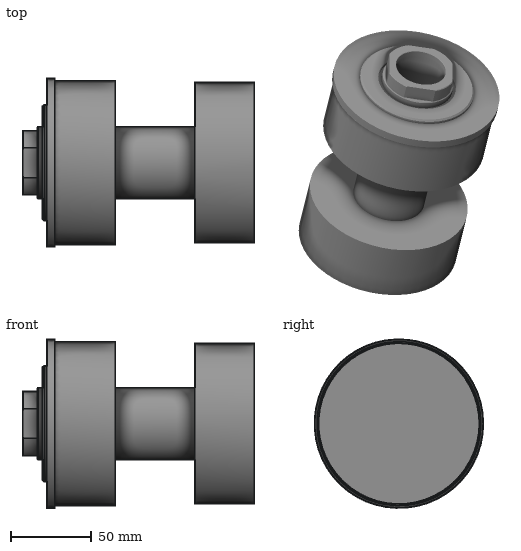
import cadquery as cq
import math

LENGTH = 144.0

AXLE_RADIUS = 22.5
AXLE_START = 9.0
AXLE_CHAMFER = 0.6
STUB_RADIUS = 22.0
STUB_CHAMFER = 0.5
FLAT_WIDTH = 40.0
END_WHEEL_RADIUS = 50.0
END_WHEEL_WIDTH = 37.0

BORE_RADIUS = 15.7
BORE_CHAMFER = 0.3
BORE_DEPTH = 36.0
BORE_TIP_ANGLE = 118.0

HUB_START = 12.2
HUB_RADIUS = 36.0
HUB_CHAMFER = 1.0
FLANGE_START = 15.0
FLANGE_RADIUS = 52.49
FLANGE_WIDTH = 5.0
WHEEL_RADIUS = 51.0
WHEEL_END = 57.6
RECESS_RADIUS = 24.3
RECESS_CHAMFER = 0.5
RECESS_DEPTH = 1.5


def cylinder(radius, start, end):
    """Solid cylinder about the X axis between two X positions."""
    return cq.Workplane("YZ").workplane(offset=start).circle(radius).extrude(end - start)


def make_stub():
    """Chamfered round end with four wrench flats."""
    stub = cylinder(STUB_RADIUS, 0, AXLE_START).faces("<X").chamfer(STUB_CHAMFER)
    flats = cq.Workplane("YZ").rect(FLAT_WIDTH, FLAT_WIDTH).extrude(AXLE_START)
    return stub.intersect(flats)


def make_bore():
    """Drilled hole volume with a chamfered mouth and a conical end."""
    tip_length = BORE_RADIUS / math.tan(math.radians(BORE_TIP_ANGLE / 2))
    outline = [
        (0, 0),
        (0, BORE_RADIUS + BORE_CHAMFER),
        (BORE_CHAMFER, BORE_RADIUS),
        (BORE_DEPTH, BORE_RADIUS),
        (BORE_DEPTH + tip_length, 0),
    ]
    return cq.Workplane("XY").polyline(outline).close().revolve(360, (0, 0, 0), (1, 0, 0))


def make_axle():
    """Axle, wrench stub and end wheel as one solid."""
    shaft = cylinder(AXLE_RADIUS, AXLE_START, LENGTH).faces("<X").chamfer(AXLE_CHAMFER)
    end_wheel = cylinder(END_WHEEL_RADIUS, LENGTH - END_WHEEL_WIDTH, LENGTH)
    return shaft.union(end_wheel).union(make_stub()).cut(make_bore())


def make_recess():
    """Ring clearance volume around the axle, chamfered at its mouth."""
    recess_end = HUB_START + RECESS_DEPTH
    outline = [
        (HUB_START, 0),
        (HUB_START, RECESS_RADIUS + RECESS_CHAMFER),
        (HUB_START + RECESS_CHAMFER, RECESS_RADIUS),
        (recess_end, RECESS_RADIUS),
        (recess_end, 0),
    ]
    return cq.Workplane("XY").polyline(outline).close().revolve(360, (0, 0, 0), (1, 0, 0))


def make_flanged_wheel():
    """Wheel with a flange and chamfered hub, bored to sit on the axle."""
    hub = cylinder(HUB_RADIUS, HUB_START, WHEEL_END).faces("<X").chamfer(HUB_CHAMFER)
    flange = cylinder(FLANGE_RADIUS, FLANGE_START, FLANGE_START + FLANGE_WIDTH)
    wheel = cylinder(WHEEL_RADIUS, FLANGE_START, WHEEL_END)
    axle_hole = cylinder(AXLE_RADIUS, HUB_START, WHEEL_END)
    return wheel.union(flange).union(hub).cut(axle_hole).cut(make_recess())


axle = make_axle()
flanged_wheel = make_flanged_wheel()
result = cq.Compound.makeCompound([axle.val(), flanged_wheel.val()])